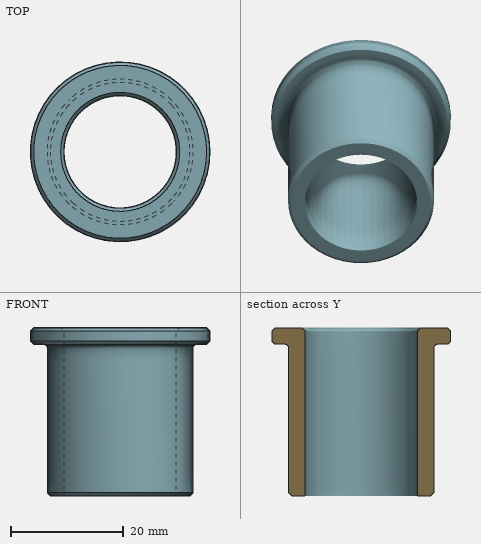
import cadquery as cq

bore_diameter = 20.0
sleeve_diameter = 26.0
flange_diameter = 32.0
total_height = 30.0
flange_thickness = 3.0
edge_chamfer = 0.6
neck_fillet = 0.6

flange_bottom = total_height - flange_thickness
smallest_circle = cq.selectors.RadiusNthSelector(0)


def make_sleeve():
    """Cylindrical sleeve with a chamfered lower outer edge."""
    sleeve = cq.Workplane("XY").circle(sleeve_diameter / 2).extrude(total_height)
    return sleeve.faces("<Z").edges().chamfer(edge_chamfer)


def make_flange():
    """Collar at the top of the sleeve, chamfered on both rims."""
    flange = (
        cq.Workplane("XY")
        .workplane(offset=flange_bottom)
        .circle(flange_diameter / 2)
        .extrude(flange_thickness)
    )
    return flange.faces("<Z or >Z").edges().chamfer(edge_chamfer)


def fillet_neck(body):
    """Round the inside corner where the sleeve meets the flange."""
    flange_underside = body.faces("-Z").faces(">Z")
    neck_edge = flange_underside.edges(smallest_circle)
    return neck_edge.fillet(neck_fillet)


def cut_bore(body):
    """Through bore with a chamfered upper mouth."""
    bored = body.faces(">Z").workplane().hole(bore_diameter)
    return bored.faces(">Z").edges(smallest_circle).chamfer(edge_chamfer)


body = make_sleeve().union(make_flange())
result = cut_bore(fillet_neck(body))